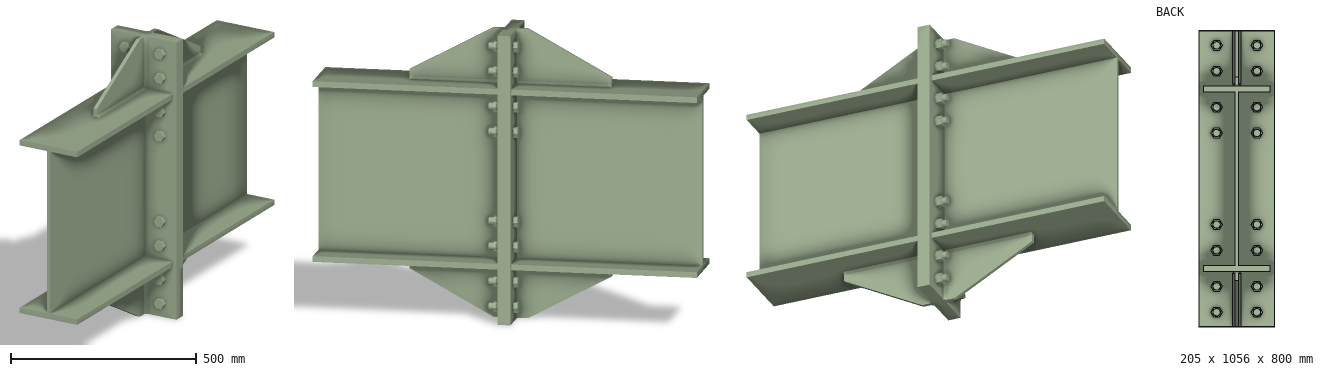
import cadquery as cq


splice_length = 1056.0
beam_depth = 500.0
flange_width = 180.0
flange_thickness = 16.0
web_thickness = 11.0

plate_width = 205.0
plate_height = 800.0
plate_thickness = 18.0

haunch_length = 260.0
haunch_top_length = 30.0
haunch_nose_height = 25.0
haunch_thickness = web_thickness
weld_leg = 6.0

bolt_column_spacing = 109.0
bolt_diameter = 20.0
hex_across_corners = 31.0
head_height = 13.0
nut_height = 18.0
thread_end_y = 50.0
bolt_spacing = 70.0
outer_bolt_z = 360.0
inner_bolt_z = 193.0
bolt_levels = [outer_bolt_z, outer_bolt_z - bolt_spacing, inner_bolt_z, inner_bolt_z - bolt_spacing]

flange_outer_z = beam_depth / 2
haunch_height = (plate_height - beam_depth) / 2
bolt_x = bolt_column_spacing / 2


def i_beam():
    """Both beams as one I-section running the full length in Y."""
    flange = cq.Workplane("XY").box(flange_width, splice_length, flange_thickness)
    flange_z = (beam_depth - flange_thickness) / 2
    web = cq.Workplane("XY").box(web_thickness, splice_length, beam_depth - flange_thickness)
    return (
        web
        .union(flange.translate((0, 0, flange_z)))
        .union(flange.translate((0, 0, -flange_z)))
    )


def end_plates():
    """The two end plates, joined on Y = 0."""
    return cq.Workplane("XY").box(plate_width, 2 * plate_thickness, plate_height)


def haunch_plate():
    """Tapered plate on the top flange, on the +Y side of the end plates."""
    return (
        cq.Workplane("YZ")
        .moveTo(plate_thickness, flange_outer_z)
        .lineTo(plate_thickness + haunch_length, flange_outer_z)
        .lineTo(plate_thickness + haunch_length, flange_outer_z + haunch_nose_height)
        .lineTo(plate_thickness + haunch_top_length, plate_height / 2)
        .lineTo(plate_thickness, plate_height / 2)
        .close()
        .extrude(haunch_thickness / 2, both=True)
    )


def haunch_welds():
    """Fillet welds on both faces of the haunch, stopping one leg short of the inner corner."""
    toe_x = haunch_thickness / 2 + weld_leg
    weld_triangle = [(-toe_x, 0), (toe_x, 0), (0, toe_x)]
    flange_weld = (
        cq.Workplane("XZ", origin=(0, plate_thickness + weld_leg, flange_outer_z))
        .polyline(weld_triangle)
        .close()
        .extrude(-(haunch_length - weld_leg))
    )
    plate_weld = (
        cq.Workplane("XY", origin=(0, plate_thickness, flange_outer_z + weld_leg))
        .polyline(weld_triangle)
        .close()
        .extrude(haunch_height - weld_leg)
    )
    return flange_weld.union(plate_weld)


def bolt():
    """Bolt along Y, with its head on the -Y side and its nut on the +Y side."""
    head = (
        cq.Workplane("XZ", origin=(0, -plate_thickness, 0))
        .polygon(6, hex_across_corners)
        .extrude(head_height)
    )
    nut = (
        cq.Workplane("XZ", origin=(0, plate_thickness, 0))
        .polygon(6, hex_across_corners)
        .extrude(-nut_height)
    )
    shank = cq.Workplane("XZ").circle(bolt_diameter / 2).extrude(-thread_end_y)
    return head.union(nut).union(shank)


result = i_beam().union(end_plates())

upper_haunch = haunch_plate().union(haunch_welds())
upper_haunches = upper_haunch.union(upper_haunch.mirror("XZ"))
result = result.union(upper_haunches).union(upper_haunches.mirror("XY"))

splice_bolt = bolt()
for level in bolt_levels:
    for z in (level, -level):
        for x in (bolt_x, -bolt_x):
            result = result.union(splice_bolt.translate((x, 0, z)))